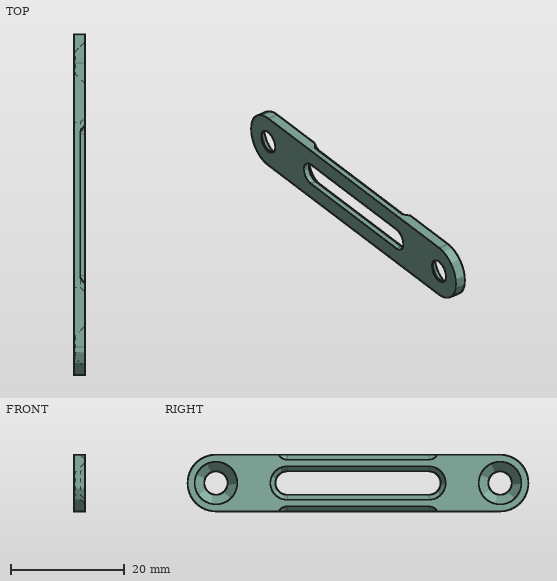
import cadquery as cq

length = 60.0
width = 10.0
thickness = 2.0
front_x = thickness / 2
end_center_y = (length - width) / 2

hole_diameter = 4.1
countersink_diameter = 7.5
countersink_angle = 90

slot_center_y = 12.5
slot_width = 4.1
slot_length = 2 * slot_center_y + slot_width
bevel = 0.9
bevel_root_radius = 0.8
bevel_taper = 45


def make_plate():
    return (
        cq.Workplane("YZ", origin=(-front_x, 0, 0))
        .slot2D(length, width)
        .extrude(thickness)
    )


def tapered_slot(root_width, center_z):
    """Slot-shaped cutter that widens at 45 degrees towards the +X face."""
    surface_width = root_width + 2 * bevel
    return (
        cq.Workplane("YZ", origin=(front_x, 0, center_z))
        .slot2D(2 * slot_center_y + surface_width, surface_width)
        .extrude(-bevel, taper=bevel_taper)
    )


def drill_end_holes(plate):
    return (
        plate.faces(">X").workplane(origin=(0, 0, 0))
        .pushPoints([(-end_center_y, 0), (end_center_y, 0)])
        .cskHole(hole_diameter, countersink_diameter, countersink_angle)
    )


def cut_slot(plate):
    through_slot = (
        cq.Workplane("YZ", origin=(-front_x, 0, 0))
        .slot2D(slot_length, slot_width)
        .extrude(thickness)
    )
    return plate.cut(through_slot).cut(tapered_slot(slot_width, 0))


def bevel_long_edges(plate):
    cutter_z = width / 2 + bevel_root_radius
    for side in (-1, 1):
        plate = plate.cut(tapered_slot(2 * bevel_root_radius, side * cutter_z))
    return plate


result = bevel_long_edges(cut_slot(drill_end_holes(make_plate())))